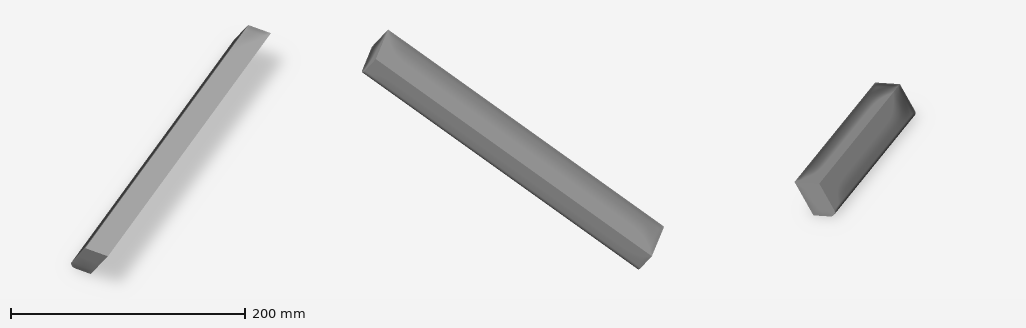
import cadquery as cq
import math

length = 304.8
width = 35.5
height = 28.5
lean_angle = 60.0
edge_radius = 4.0

corner_setback = edge_radius / math.tan(math.radians(lean_angle / 2))
corner_overhang = corner_setback - edge_radius

lean = height / math.tan(math.radians(lean_angle))
face_width = width + corner_overhang - lean

bottom_left = -width / 2 - corner_overhang
bottom_right = bottom_left + face_width
top_left = bottom_left + lean
top_right = bottom_right + lean

bar = (
    cq.Workplane("XZ")
    .polyline([
        (bottom_left, -height / 2),
        (bottom_right, -height / 2),
        (top_right, height / 2),
        (top_left, height / 2),
    ])
    .close()
    .extrude(length / 2, both=True)
)

result = bar.edges("|Y").edges("<X").fillet(edge_radius)